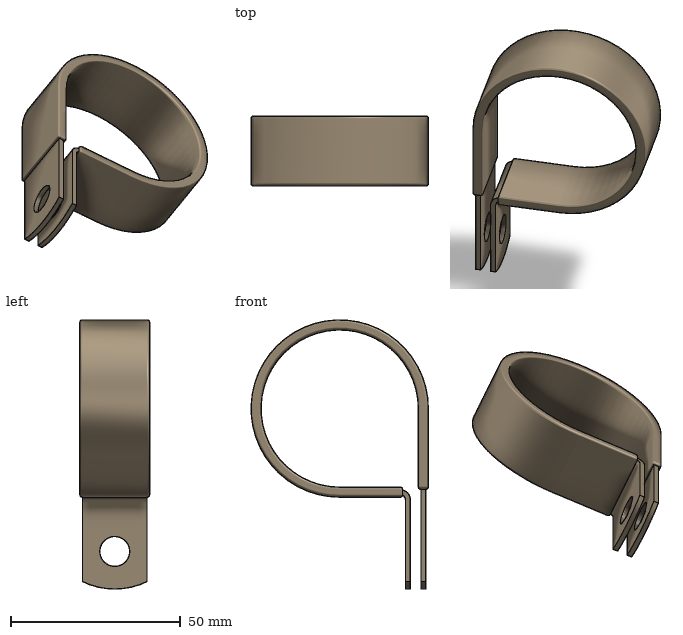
import cadquery as cq
import math

total_height = 79.3
loop_diameter = 52.25
cushion_width = 20.6
cushion_thickness = 3.0
strap_width = 19.0
strap_thickness = cushion_thickness / 2
edge_radius = cushion_thickness / 4

cushion_end_x = 18.55
cushion_end_z = -23.8
bend_outer_radius = 2 * strap_thickness

hole_diameter = 8.7
hole_above_tip = 11.1
tip_radius = 21.8

loop_radius = loop_diameter / 2
mid_radius = loop_radius - cushion_thickness / 2
tip_z = loop_radius - total_height
bend_start_x = cushion_end_x - edge_radius
bend_inner_radius = bend_outer_radius - strap_thickness
bend_center_z = -mid_radius + strap_thickness / 2 - bend_outer_radius


def loop_band(thickness, width, straight_end_z, ledge_end_x):
    """Three-quarter ring with a straight leg down +X and a ledge along the bottom."""
    outer = mid_radius + thickness / 2
    inner = mid_radius - thickness / 2
    diagonal = math.sqrt(0.5)
    return (
        cq.Workplane("XZ")
        .moveTo(outer, straight_end_z)
        .lineTo(outer, 0)
        .threePointArc((-outer * diagonal, outer * diagonal), (0, -outer))
        .lineTo(ledge_end_x, -outer)
        .lineTo(ledge_end_x, -inner)
        .lineTo(0, -inner)
        .threePointArc((-inner * diagonal, inner * diagonal), (inner, 0))
        .lineTo(inner, straight_end_z)
        .close()
        .extrude(width / 2, both=True)
    )


def bent_tab():
    """Quarter bend from the ledge down into the second flat tab."""
    outer_x = bend_start_x + bend_outer_radius
    inner_x = bend_start_x + bend_inner_radius
    return (
        cq.Workplane("XZ")
        .moveTo(bend_start_x, bend_center_z + bend_outer_radius)
        .radiusArc((outer_x, bend_center_z), bend_outer_radius)
        .lineTo(outer_x, tip_z)
        .lineTo(inner_x, tip_z)
        .lineTo(inner_x, bend_center_z)
        .radiusArc((bend_start_x, bend_center_z + bend_inner_radius), -bend_inner_radius)
        .close()
        .extrude(strap_width / 2, both=True)
    )


def tab_envelope():
    """Strap-wide block along X with a convex lower tip and the bolt hole."""
    half_width = strap_width / 2
    corner_z = tip_z + tip_radius - math.sqrt(tip_radius**2 - half_width**2)
    return (
        cq.Workplane("YZ")
        .moveTo(-half_width, loop_radius)
        .lineTo(-half_width, corner_z)
        .threePointArc((0, tip_z), (half_width, corner_z))
        .lineTo(half_width, loop_radius)
        .close()
        .moveTo(0, tip_z + hole_above_tip)
        .circle(hole_diameter / 2)
        .extrude(loop_diameter, both=True)
    )


cushion = loop_band(cushion_thickness, cushion_width, cushion_end_z, cushion_end_x)
cushion = cushion.edges().fillet(edge_radius)

strap = loop_band(strap_thickness, strap_width, tip_z, bend_start_x).union(bent_tab())
strap = strap.intersect(tab_envelope())

result = cushion.union(strap)